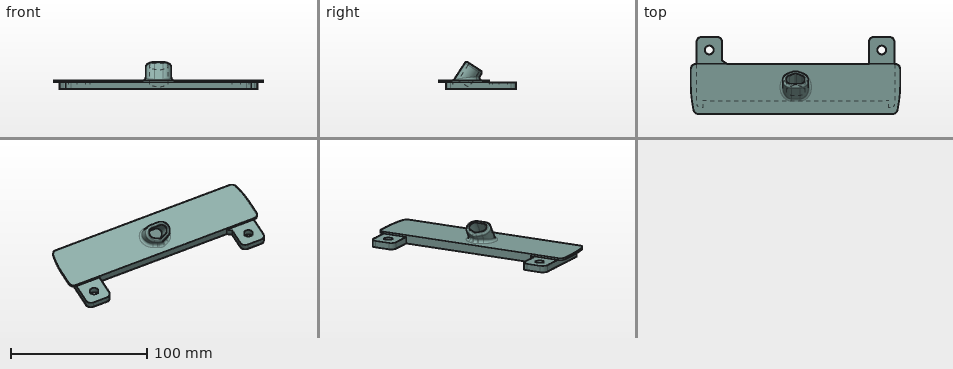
import cadquery as cq
import math

PLATE_WIDTH = 154.0
PLATE_DEPTH = 37.0
PLATE_THICKNESS = 1.5
PLATE_BACK_RADIUS = 4.0
PLATE_FRONT_RADIUS = 4.0
SIDE_ARC_START_Y = 21.6
SIDE_ARC_RADIUS = 87.0

TOTAL_DEPTH = 56.8
SLAB_THICKNESS = 5.0
SLAB_WIDTH = 145.6
LUG_WIDTH = 19.0
LUG_RADIUS = 4.0
LUG_HOLE_DIAMETER = 6.3
LUG_HOLE_FROM_BACK = 9.7
BRACE_LENGTH = 3.4
BRACE_DEPTH = 2.4
FOOT_FRONT_Y = 5.2
FOOT_WIDTH = 4.6
FOOT_SIDE_RADIUS = 3.8
FOOT_TIP_RADIUS = 2.0
FOOT_ARC_ANGLE = 40.0
SLAB_FRONT_Y = 10.0
SLAB_FRONT_TAPER_WIDTH = 3.8
SLAB_FRONT_TAPER_DEPTH = 0.35

TOTAL_HEIGHT = 20.03
BOSS_TILT = math.radians(33.0)
BOSS_FRONT_Y = 10.8
BOSS_SIDE_RADIUS = 6.55
BOSS_SIDE_SPACING = 6.0
BOSS_WALL = 2.65
BOSS_ROOF_SLOPE = math.radians(24.0)
BORE_RIDGE_RADIUS = 1.5
BORE_DEPTH = 15.0
LIP_RADIUS = 1.5
BOSS_BASE_RADIUS = 2.0

PLATE_TOP_Z = SLAB_THICKNESS + PLATE_THICKNESS
RIM_Z = TOTAL_HEIGHT + LIP_RADIUS * (math.cos(BOSS_TILT) + math.sin(BOSS_TILT) - 1)
BOSS_LENGTH = (RIM_Z - PLATE_TOP_Z) / math.cos(BOSS_TILT)


def make_plate():
    """Thin plate whose sides curve inwards towards the front."""
    half = PLATE_WIDTH / 2

    def side_inset(y):
        drop = SIDE_ARC_START_Y - y
        return SIDE_ARC_RADIUS - math.sqrt(SIDE_ARC_RADIUS**2 - drop**2)

    front_x = half - side_inset(0)
    mid_y = SIDE_ARC_START_Y / 2
    mid_x = half - side_inset(mid_y)
    plate = (
        cq.Workplane("XY", origin=(0, 0, SLAB_THICKNESS))
        .moveTo(-front_x, 0)
        .lineTo(front_x, 0)
        .threePointArc((mid_x, mid_y), (half, SIDE_ARC_START_Y))
        .lineTo(half, PLATE_DEPTH)
        .lineTo(-half, PLATE_DEPTH)
        .lineTo(-half, SIDE_ARC_START_Y)
        .threePointArc((-mid_x, mid_y), (-front_x, 0))
        .close()
        .extrude(PLATE_THICKNESS)
    )
    plate = plate.edges("|Z and >Y").fillet(PLATE_BACK_RADIUS)
    return plate.edges("|Z and <Y").fillet(PLATE_FRONT_RADIUS)


def make_half_slab(side):
    """Half of the slab with its lug and foot; side is -1 for left and +1 for right."""
    outer_x = SLAB_WIDTH / 2
    foot_inner_x = outer_x - FOOT_WIDTH
    taper_x = foot_inner_x - SLAB_FRONT_TAPER_WIDTH
    turn = math.radians(FOOT_ARC_ANGLE)
    joint_x = outer_x - FOOT_SIDE_RADIUS * (1 - math.cos(turn))
    joint_y = FOOT_FRONT_Y + FOOT_TIP_RADIUS * (1 - math.sin(turn))
    tip_x = joint_x - FOOT_TIP_RADIUS * math.cos(turn)
    corner_y = joint_y + FOOT_SIDE_RADIUS * math.sin(turn)
    lug_inner_x = outer_x - LUG_WIDTH
    half_slab = (
        cq.Workplane("XY")
        .moveTo(0, SLAB_FRONT_Y)
        .lineTo(side * taper_x, SLAB_FRONT_Y)
        .lineTo(side * foot_inner_x, SLAB_FRONT_Y + SLAB_FRONT_TAPER_DEPTH)
        .lineTo(side * foot_inner_x, FOOT_FRONT_Y)
        .lineTo(side * tip_x, FOOT_FRONT_Y)
        .tangentArcPoint((side * joint_x, joint_y), relative=False)
        .tangentArcPoint((side * outer_x, corner_y), relative=False)
        .lineTo(side * outer_x, TOTAL_DEPTH)
        .lineTo(side * lug_inner_x, TOTAL_DEPTH)
        .lineTo(side * lug_inner_x, PLATE_DEPTH)
        .lineTo(0, PLATE_DEPTH)
        .close()
        .extrude(SLAB_THICKNESS)
    )
    half_slab = half_slab.edges("|Z and >Y").fillet(LUG_RADIUS)
    lug_hole = (
        cq.Workplane("XY")
        .center(side * (outer_x - LUG_WIDTH / 2), TOTAL_DEPTH - LUG_HOLE_FROM_BACK)
        .circle(LUG_HOLE_DIAMETER / 2)
        .extrude(SLAB_THICKNESS)
    )
    return half_slab.cut(lug_hole)


def make_brace():
    """Small triangular brace in the inner corner of the left lug."""
    corner_x = LUG_WIDTH - SLAB_WIDTH / 2
    return (
        cq.Workplane("XY")
        .moveTo(corner_x, PLATE_DEPTH)
        .lineTo(corner_x + BRACE_LENGTH, PLATE_DEPTH)
        .lineTo(corner_x, PLATE_DEPTH + BRACE_DEPTH)
        .close()
        .extrude(SLAB_THICKNESS)
    )


def boss_axis():
    """Unit vector along the boss, from the plate towards the rim."""
    return cq.Vector(0, math.sin(BOSS_TILT), math.cos(BOSS_TILT))


def boss_section(inset, start, length):
    """Prism along the boss axis: flat front, round sides and a ridged back, shrunk by inset.

    Start and length are measured along the axis from where the boss front meets the plate.
    """
    axis = boss_axis()
    plane = cq.Plane(
        origin=cq.Vector(0, BOSS_FRONT_Y, PLATE_TOP_Z) + axis * start,
        xDir=(1, 0, 0),
        normal=axis,
    )
    centre_x = BOSS_SIDE_SPACING / 2
    centre_y = BOSS_SIDE_RADIUS
    radius = BOSS_SIDE_RADIUS - inset
    ridge_radius = BORE_RIDGE_RADIUS + BOSS_WALL - inset
    sine = math.sin(BOSS_ROOF_SLOPE)
    cosine = math.cos(BOSS_ROOF_SLOPE)
    roof_x = centre_x + radius * sine
    roof_y = centre_y + radius * cosine
    ridge_x = ridge_radius * sine
    ridge_y = roof_y + (roof_x - ridge_x) * math.tan(BOSS_ROOF_SLOPE)
    peak_y = ridge_y + ridge_radius * (1 - cosine)
    return (
        cq.Workplane(plane)
        .moveTo(-centre_x, centre_y - radius)
        .lineTo(centre_x, centre_y - radius)
        .threePointArc((centre_x + radius, centre_y), (roof_x, roof_y))
        .lineTo(ridge_x, ridge_y)
        .threePointArc((0, peak_y), (-ridge_x, ridge_y))
        .lineTo(-roof_x, roof_y)
        .threePointArc((-centre_x - radius, centre_y), (-centre_x, centre_y - radius))
        .close()
        .extrude(length)
    )


def add_boss(plate):
    """Join the boss to the plate, then round its foot and its rim."""
    boss = boss_section(0, -PLATE_THICKNESS, BOSS_LENGTH + PLATE_THICKNESS)
    above_slab = cq.Workplane("XY", origin=(0, PLATE_DEPTH / 2, SLAB_THICKNESS)).box(
        PLATE_WIDTH, PLATE_DEPTH, TOTAL_HEIGHT, centered=(True, True, False)
    )
    body = plate.union(boss.intersect(above_slab))
    margin = PLATE_THICKNESS / 2
    boss_foot = cq.selectors.BoxSelector(
        (-PLATE_WIDTH / 4, margin, PLATE_TOP_Z - margin),
        (PLATE_WIDTH / 4, PLATE_DEPTH - margin, PLATE_TOP_Z + margin),
    )
    body = body.edges(boss_foot).fillet(BOSS_BASE_RADIUS)
    rim = body.faces(cq.selectors.DirectionMinMaxSelector(boss_axis())).edges()
    return rim.fillet(LIP_RADIUS)


plate_with_boss = add_boss(make_plate())
slab = make_half_slab(-1).union(make_half_slab(1)).union(make_brace())
bore = boss_section(BOSS_WALL, BOSS_LENGTH - BORE_DEPTH, BORE_DEPTH)
result = plate_with_boss.union(slab).cut(bore)